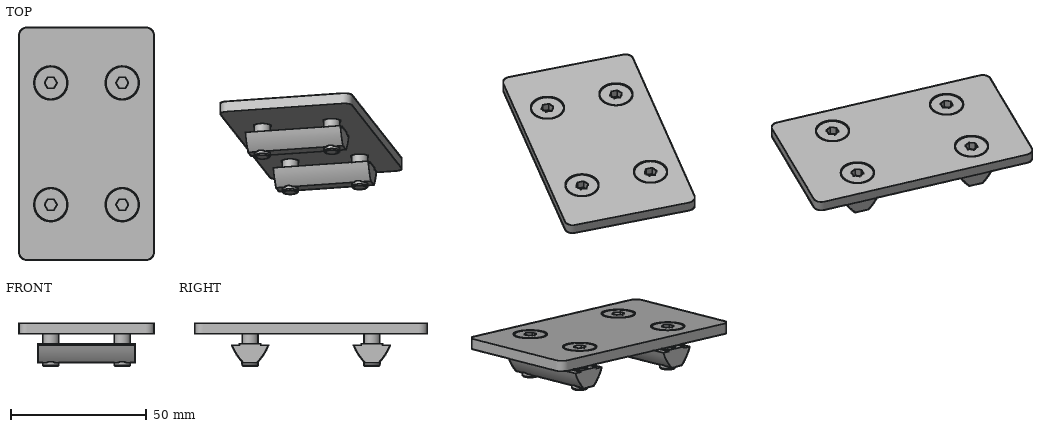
import cadquery as cq
import math

plate_width = 50.0
plate_length = 86.0
plate_thickness = 4.0
plate_corner_radius = 3.0

screw_spacing_x = 26.4
screw_spacing_y = 45.0
screw_diameter = 6.0
screw_length = 16.0
head_diameter = 12.0
screw_tip_chamfer = 0.5
hex_across_flats = 4.0
hex_depth = 3.0

clearance_diameter = 6.5
countersink_diameter = 12.5
countersink_depth = (countersink_diameter - clearance_diameter) / 2
head_rim_height = (countersink_diameter - head_diameter) / 2
head_cone_height = (head_diameter - screw_diameter) / 2

bar_length = 36.0
bar_top_z = -7.6
bar_ledge_z = -8.15
bar_bottom_z = -14.6
bar_neck_width = 8.0
bar_ledge_width = 13.6
bar_bottom_width = 5.2
bar_flank_bulge = 0.4


def make_plate():
    """Rounded plate with four countersunk clearance holes."""
    plate = (
        cq.Workplane("XY")
        .box(plate_width, plate_length, plate_thickness, centered=(True, True, False))
        .translate((0, 0, -plate_thickness))
        .edges("|Z")
        .fillet(plate_corner_radius)
    )
    hole_profile = [
        (0, 0),
        (countersink_diameter / 2, 0),
        (clearance_diameter / 2, -countersink_depth),
        (clearance_diameter / 2, -plate_thickness),
        (0, -plate_thickness),
    ]
    hole = revolve_about_z(hole_profile)
    for x, y in screw_positions():
        plate = plate.cut(hole.translate((x, y, 0)))
    return plate


def screw_positions():
    """Screw centres, two along X by two along Y."""
    return [
        (side_x * screw_spacing_x / 2, side_y * screw_spacing_y / 2)
        for side_x in (-1, 1)
        for side_y in (-1, 1)
    ]


def revolve_about_z(profile):
    """Solid of revolution about Z from (radius, z) points."""
    return cq.Workplane("XZ").polyline(profile).close().revolve(360, (0, 0, 0), (0, 1, 0))


def make_screw():
    """Countersunk screw; below a short straight rim its head seats on the plate's cone."""
    shank_radius = screw_diameter / 2
    profile = [
        (0, 0),
        (head_diameter / 2, 0),
        (head_diameter / 2, -head_rim_height),
        (shank_radius, -head_rim_height - head_cone_height),
        (shank_radius, -screw_length + screw_tip_chamfer),
        (shank_radius - screw_tip_chamfer, -screw_length),
        (0, -screw_length),
    ]
    hex_across_corners = hex_across_flats / math.cos(math.pi / 6)
    socket = cq.Workplane("XY").polygon(6, hex_across_corners).extrude(-hex_depth)
    return revolve_about_z(profile).cut(socket)


def make_bar():
    """Slot nut bar with a raised neck strip on top and convex flanks below its ledges."""
    neck_y = bar_neck_width / 2
    ledge_y = bar_ledge_width / 2
    bottom_y = bar_bottom_width / 2

    flank_run = ledge_y - bottom_y
    flank_rise = bar_ledge_z - bar_bottom_z
    flank_chord = math.hypot(flank_run, flank_rise)
    flank_mid_y = (ledge_y + bottom_y) / 2 + bar_flank_bulge * flank_rise / flank_chord
    flank_mid_z = (bar_ledge_z + bar_bottom_z) / 2 - bar_flank_bulge * flank_run / flank_chord

    return (
        cq.Workplane("YZ")
        .moveTo(-neck_y, bar_top_z)
        .lineTo(neck_y, bar_top_z)
        .lineTo(neck_y, bar_ledge_z)
        .lineTo(ledge_y, bar_ledge_z)
        .threePointArc((flank_mid_y, flank_mid_z), (bottom_y, bar_bottom_z))
        .lineTo(-bottom_y, bar_bottom_z)
        .threePointArc((-flank_mid_y, flank_mid_z), (-ledge_y, bar_ledge_z))
        .lineTo(-neck_y, bar_ledge_z)
        .close()
        .extrude(bar_length / 2, both=True)
    )


result = make_plate()

bar = make_bar()
for side in (-1, 1):
    result = result.union(bar.translate((0, side * screw_spacing_y / 2, 0)))

screw = make_screw()
for screw_x, screw_y in screw_positions():
    result = result.union(screw.translate((screw_x, screw_y, 0)))